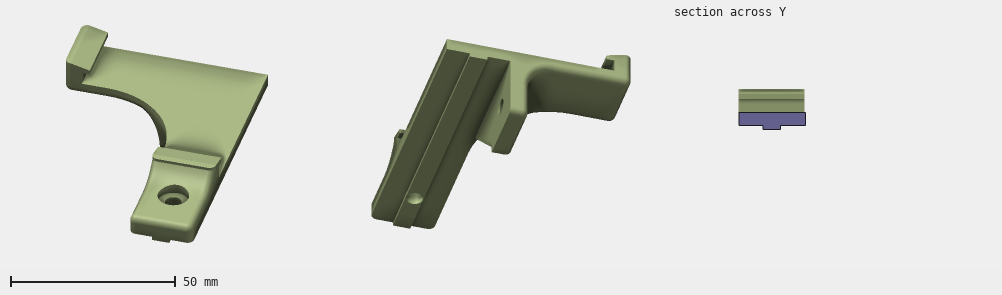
import cadquery as cq
import math

LENGTH_X = 58.5
LENGTH_Y = 83.0
ARM_WIDTH = 20.0
PLATE_THICKNESS = 4.0
INNER_CORNER_RADIUS = 25.0
ROUND_RADIUS = 2.0

HOOK_HEIGHT = 11.0
HOOK_FLAT = 2.0
HOOK_WALL = 5.5
HOOK_REACH = 8.0
LIP_BOTTOM = 8.0
LIP_TIP_TOP = 9.5

PAD_THICKNESS = 6.0
PAD_LENGTH = 24.0
PAD_FLAT_LENGTH = 15.0
PAD_CURVE_RADIUS = 12.0
WEB_DEPTH = 20.0
WEB_CURVE_RADIUS = 8.0
WEB_END_HEIGHT = 2.0

TONGUE_WIDTH = 5.5
TONGUE_DEPTH = 1.2

HOLE_DIAMETER = 5.1
COUNTERBORE_DIAMETER = 9.6
COUNTERBORE_DEPTH = 2.5
PAD_HOLE_Y = 14.0

LONG_ARM_X = LENGTH_X - ARM_WIDTH
LONG_ARM_MID_X = LENGTH_X - ARM_WIDTH / 2
SHORT_ARM_Y = LENGTH_Y - ARM_WIDTH
SHORT_ARM_MID_Y = LENGTH_Y - ARM_WIDTH / 2
ARC_CENTER_X = LONG_ARM_X - INNER_CORNER_RADIUS
ARC_CENTER_Y = SHORT_ARM_Y - INNER_CORNER_RADIUS
WEB_FACE_X = LONG_ARM_X - PAD_THICKNESS
WEB_HOLE_Z = -WEB_DEPTH / 2
CORNER_PLATE_X = WEB_FACE_X + ROUND_RADIUS
SLOPE_BOTTOM_Z = WEB_END_HEIGHT - WEB_DEPTH
PAD_CURVE_TOP = PAD_THICKNESS + PAD_CURVE_RADIUS
PAD_CURVE_END = PAD_FLAT_LENGTH + PAD_CURVE_RADIUS
PAD_SLOT_Y = PAD_LENGTH + HOOK_WALL
PAD_HOOK_Z = PAD_CURVE_TOP - math.sqrt(PAD_CURVE_RADIUS**2 - (PAD_LENGTH - PAD_FLAT_LENGTH) ** 2)
HALF_ARC = math.sqrt(0.5)


def slope_y(z):
    """Y of the 45 degree slope on the web at height z."""
    return SHORT_ARM_Y + SLOPE_BOTTOM_Z - z


def inner_corner_x(y):
    """X of the concave inner corner at position y."""
    return ARC_CENTER_X + math.sqrt(INNER_CORNER_RADIUS**2 - (y - ARC_CENTER_Y) ** 2)


def edge_at(solid, point):
    """The edge of a solid that passes closest to a point."""
    vertex = cq.Vertex.makeVertex(*point)
    return min(solid.Edges(), key=lambda edge: edge.distance(vertex))


def round_edges(body, points):
    """Round the edges at the given points, with any edges tangent to them."""
    solid = body.val()
    return cq.Workplane(solid.fillet(ROUND_RADIUS, [edge_at(solid, point) for point in points]))


def corner_plan(min_x, min_z, max_z):
    """The short arm and inner corner seen in plan, from min_x to the far side of the part."""
    plan = (
        cq.Workplane("XY", origin=(0, 0, min_z))
        .moveTo(0, LENGTH_Y)
        .lineTo(0, SHORT_ARM_Y)
        .lineTo(ARC_CENTER_X, SHORT_ARM_Y)
        .threePointArc(
            (
                ARC_CENTER_X + INNER_CORNER_RADIUS * HALF_ARC,
                ARC_CENTER_Y + INNER_CORNER_RADIUS * HALF_ARC,
            ),
            (LONG_ARM_X, ARC_CENTER_Y),
        )
        .lineTo(LENGTH_X, ARC_CENTER_Y)
        .lineTo(LENGTH_X, LENGTH_Y)
        .close()
        .extrude(max_z - min_z)
    )
    keep = cq.Workplane("XY").box(LENGTH_X - min_x, LENGTH_Y, max_z - min_z, centered=False)
    return plan.intersect(keep.translate((min_x, 0, min_z)))


def make_short_arm_and_web():
    """Short hooked arm along X that curves down into the sloped web."""
    curve_middle = WEB_CURVE_RADIUS * (1 - HALF_ARC)
    side = (
        cq.Workplane("XZ", origin=(0, LENGTH_Y, 0))
        .moveTo(0, HOOK_HEIGHT)
        .lineTo(0, 0)
        .lineTo(WEB_FACE_X - WEB_CURVE_RADIUS, 0)
        .threePointArc(
            (WEB_FACE_X - curve_middle, -curve_middle),
            (WEB_FACE_X, -WEB_CURVE_RADIUS),
        )
        .lineTo(WEB_FACE_X, -WEB_DEPTH)
        .lineTo(LENGTH_X, -WEB_DEPTH)
        .lineTo(LENGTH_X, PLATE_THICKNESS)
        .lineTo(HOOK_WALL, PLATE_THICKNESS)
        .lineTo(HOOK_WALL, LIP_BOTTOM)
        .lineTo(HOOK_REACH, LIP_BOTTOM)
        .lineTo(HOOK_REACH, LIP_TIP_TOP)
        .lineTo(HOOK_FLAT, HOOK_HEIGHT)
        .close()
        .extrude(LENGTH_Y - ARC_CENTER_Y)
    )
    slope = (
        cq.Workplane("YZ")
        .moveTo(LENGTH_Y, HOOK_HEIGHT)
        .lineTo(slope_y(HOOK_HEIGHT), HOOK_HEIGHT)
        .lineTo(SHORT_ARM_Y, SLOPE_BOTTOM_Z)
        .lineTo(SHORT_ARM_Y, -WEB_DEPTH)
        .lineTo(LENGTH_Y, -WEB_DEPTH)
        .close()
        .extrude(LENGTH_X)
    )
    body = side.intersect(corner_plan(0, -WEB_DEPTH, HOOK_HEIGHT)).intersect(slope)

    hook_mid_z = HOOK_HEIGHT / 2
    web_mid_x = WEB_FACE_X + PAD_THICKNESS / 2
    arm_mid_x = ARC_CENTER_X / 2
    low_slope_z = (SLOPE_BOTTOM_Z - WEB_CURVE_RADIUS) / 2
    high_slope_z = -WEB_CURVE_RADIUS / 2
    high_slope_y = slope_y(high_slope_z)
    body = round_edges(
        body,
        [
            (0, SHORT_ARM_Y, hook_mid_z),
            (0, LENGTH_Y, hook_mid_z),
            (0, SHORT_ARM_MID_Y, 0),
            (arm_mid_x, LENGTH_Y, 0),
            (arm_mid_x, SHORT_ARM_Y, 0),
            (WEB_FACE_X, SHORT_ARM_MID_Y, -WEB_DEPTH),
            (web_mid_x, LENGTH_Y, -WEB_DEPTH),
            (WEB_FACE_X, slope_y(low_slope_z), low_slope_z),
            (inner_corner_x(high_slope_y), high_slope_y, high_slope_z),
        ],
    )
    surplus = cq.Workplane("XY").box(ARM_WIDTH, LENGTH_Y, WEB_DEPTH, centered=False)
    replaced = cq.Workplane("XY").box(LENGTH_X - CORNER_PLATE_X, LENGTH_Y, PLATE_THICKNESS, centered=False)
    return body.cut(surplus.translate((LONG_ARM_X, 0, -WEB_DEPTH))).cut(
        replaced.translate((CORNER_PLATE_X, 0, 0))
    )


def make_long_arm():
    """Long arm along Y with its curved, rounded screw pad, up to the back of the hook."""
    arm = (
        cq.Workplane("YZ", origin=(LONG_ARM_X, 0, 0))
        .lineTo(0, PAD_THICKNESS)
        .lineTo(PAD_FLAT_LENGTH, PAD_THICKNESS)
        .threePointArc(
            (
                PAD_FLAT_LENGTH + PAD_CURVE_RADIUS * HALF_ARC,
                PAD_CURVE_TOP - PAD_CURVE_RADIUS * HALF_ARC,
            ),
            (PAD_CURVE_END, PAD_CURVE_TOP),
        )
        .lineTo(PAD_SLOT_Y, PAD_CURVE_TOP)
        .lineTo(PAD_SLOT_Y, PLATE_THICKNESS)
        .lineTo(LENGTH_Y, PLATE_THICKNESS)
        .lineTo(LENGTH_Y, 0)
        .close()
        .extrude(ARM_WIDTH)
    )
    pad_mid_z = PAD_THICKNESS / 2
    pad_mid_y = PAD_FLAT_LENGTH / 2
    arm = round_edges(
        arm,
        [
            (LONG_ARM_X, 0, pad_mid_z),
            (LENGTH_X, 0, pad_mid_z),
            (LONG_ARM_MID_X, 0, PAD_THICKNESS),
            (LONG_ARM_X, pad_mid_y, PAD_THICKNESS),
            (LENGTH_X, pad_mid_y, PAD_THICKNESS),
        ],
    )
    keep = cq.Workplane("XY").box(LENGTH_X, LENGTH_Y, PAD_HOOK_Z, centered=False)
    return arm.intersect(keep)


def make_long_arm_hook():
    """Top of the long arm's hook, with the upright corners of its back rounded."""
    return (
        cq.Workplane("YZ", origin=(LONG_ARM_X, 0, 0))
        .moveTo(PAD_LENGTH, PAD_HOOK_Z)
        .lineTo(PAD_LENGTH, HOOK_HEIGHT)
        .lineTo(PAD_LENGTH + HOOK_FLAT, HOOK_HEIGHT)
        .lineTo(PAD_LENGTH + HOOK_REACH, LIP_TIP_TOP)
        .lineTo(PAD_LENGTH + HOOK_REACH, LIP_BOTTOM)
        .lineTo(PAD_SLOT_Y, LIP_BOTTOM)
        .lineTo(PAD_SLOT_Y, PAD_HOOK_Z)
        .close()
        .extrude(ARM_WIDTH)
        .edges("|Z and <Y")
        .fillet(ROUND_RADIUS)
    )


def make_tongue():
    """Locating tongue along the middle of the long arm's underside."""
    tongue = cq.Workplane("XY").box(TONGUE_WIDTH, LENGTH_Y, TONGUE_DEPTH, centered=(True, False, False))
    return tongue.translate((LONG_ARM_MID_X, 0, -TONGUE_DEPTH))


def make_screw_hole(center, inward):
    """Counterbored hole cutter: center lies on the screw face, inward points into the pad."""
    reach_out = HOOK_HEIGHT - PAD_THICKNESS
    plane = cq.Plane(origin=center, normal=inward)
    counterbore = (
        cq.Workplane(plane)
        .workplane(offset=-reach_out)
        .circle(COUNTERBORE_DIAMETER / 2)
        .extrude(reach_out + COUNTERBORE_DEPTH)
    )
    hole = cq.Workplane(plane).circle(HOLE_DIAMETER / 2).extrude(PAD_THICKNESS + TONGUE_DEPTH)
    return counterbore.union(hole)


corner_plate = corner_plan(CORNER_PLATE_X, 0, PLATE_THICKNESS)
result = (
    make_short_arm_and_web()
    .union(corner_plate)
    .union(make_long_arm())
    .union(make_long_arm_hook())
    .union(make_tongue())
    .cut(make_screw_hole((LONG_ARM_MID_X, PAD_HOLE_Y, PAD_THICKNESS), (0, 0, -1)))
    .cut(make_screw_hole((WEB_FACE_X, SHORT_ARM_MID_Y, WEB_HOLE_Z), (1, 0, 0)))
)